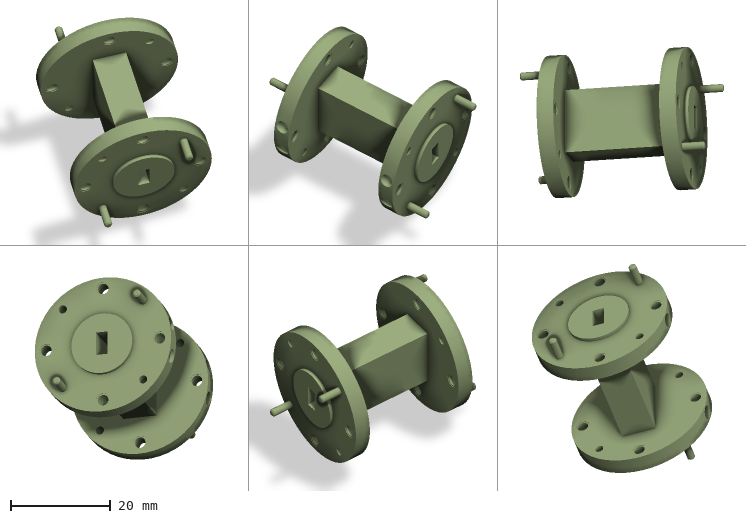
import cadquery as cq
import math

overall_length = 37.92
pin_projection = 4.65
flange_thickness = 3.4
flange_outer_x = overall_length / 2 - pin_projection
flange_inner_x = flange_outer_x - flange_thickness
flange_mid_x = flange_outer_x - flange_thickness / 2

flange_diameter = 28.6
boss_diameter = 12.75
boss_height = 0.75

body_width = 6.95
body_height = 13.0
channel_width = 2.4
channel_height = 4.78

pitch_radius = 11.9
screw_hole_diameter = 2.25
counterbore_diameter = 2.8
counterbore_depth = 0.1
screw_hole_angles = (0, 90, 180, 270)
pin_diameter = 1.6
pin_chamfer = 0.25
pin_hole_diameter = 1.7
rising_diagonal = (45, 225)
falling_diagonal = (135, 315)

rim_hole_diameter = 2.73
rim_hole_offset_z = 3.4
rim_hole_depth = 3.8
rim_hole_floor_y = flange_diameter / 2 - rim_hole_depth


def cylinder_x(diameter, x_start, x_end, y=0, z=0):
    """Cylinder parallel to X between two X positions."""
    length = x_end - x_start
    return cq.Workplane("YZ", origin=(x_start, y, z)).circle(diameter / 2).extrude(length)


def on_pitch_circle(angle):
    """Y and Z of a point on the pitch circle; the angle runs from +Y towards +Z."""
    turn = math.radians(angle)
    return pitch_radius * math.cos(turn), pitch_radius * math.sin(turn)


def screw_hole(angle):
    """Through-hole cutter with a shallow counterbore on both flange faces."""
    y, z = on_pitch_circle(angle)
    hole = cylinder_x(screw_hole_diameter, flange_inner_x, flange_outer_x, y, z)
    inner_bore = cylinder_x(
        counterbore_diameter, flange_inner_x, flange_inner_x + counterbore_depth, y, z
    )
    outer_bore = cylinder_x(
        counterbore_diameter, flange_outer_x - counterbore_depth, flange_outer_x, y, z
    )
    return hole.union(inner_bore).union(outer_bore)


def rim_hole(z):
    """Blind cutter parallel to Y, entering the rim on the +Y side at height z."""
    floor = cq.Workplane("XZ", origin=(flange_mid_x, rim_hole_floor_y, z))
    return floor.circle(rim_hole_diameter / 2).extrude(-rim_hole_depth)


def flange(pin_angles, pin_hole_angles):
    """Flange at the +X end with its raised face, pins and holes."""
    body = cylinder_x(flange_diameter, flange_inner_x, flange_outer_x)
    body = body.union(cylinder_x(boss_diameter, flange_outer_x, flange_outer_x + boss_height))
    for angle in screw_hole_angles:
        body = body.cut(screw_hole(angle))
    for angle in pin_hole_angles:
        y, z = on_pitch_circle(angle)
        body = body.cut(cylinder_x(pin_hole_diameter, flange_inner_x, flange_outer_x, y, z))
    for z in (rim_hole_offset_z, -rim_hole_offset_z):
        body = body.cut(rim_hole(z))
    for angle in pin_angles:
        y, z = on_pitch_circle(angle)
        pin = cylinder_x(pin_diameter, flange_inner_x, overall_length / 2, y, z)
        body = body.union(pin.faces(">X").chamfer(pin_chamfer))
    return body


right_flange = flange(rising_diagonal, falling_diagonal)
left_flange = flange(falling_diagonal, rising_diagonal).mirror("YZ")

body = cq.Workplane("XY").box(2 * flange_inner_x, body_width, body_height)
channel = cq.Workplane("XY").box(overall_length, channel_width, channel_height)

result = body.union(right_flange).union(left_flange).cut(channel)